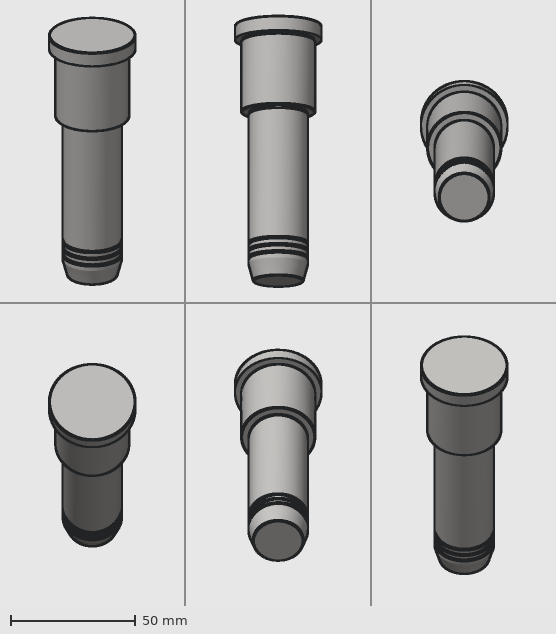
import cadquery as cq
import math

total_length = 106.0
head_diameter = 35.0
head_height = 6.0
body_diameter = 30.0
body_bottom = 70.0
shaft_diameter = 24.1

edge_chamfer = 0.4
relief_depth = 0.3
head_relief_height = 0.5
shaft_relief_height = 1.0

taper_height = 7.0
taper_angle = 15.0
tip_chamfer = 0.4

groove_count = 3
lowest_groove_center = 9.5
groove_pitch = 3.0
groove_width = 1.1
groove_depth = 0.4

head_radius = head_diameter / 2
body_radius = body_diameter / 2
shaft_radius = shaft_diameter / 2
head_bottom = total_length - head_height
tip_radius = shaft_radius - (taper_height - tip_chamfer) * math.tan(math.radians(taper_angle))


def cylinder(radius, bottom, top):
    """Solid cylinder on the Z axis between two heights."""
    return cq.Workplane("XY").workplane(offset=bottom).circle(radius).extrude(top - bottom)


def revolve_profile(points):
    """Revolve a closed (radius, height) outline about the Z axis."""
    return cq.Workplane("XZ").polyline(points).close().revolve(360, (0, 0), (0, 1))


def make_head():
    return cylinder(head_radius, head_bottom, total_length).faces(">Z").chamfer(edge_chamfer)


def make_body():
    body_top = head_bottom - head_relief_height
    body = cylinder(body_radius, body_bottom, body_top).edges().chamfer(edge_chamfer)
    relief = cylinder(body_radius - edge_chamfer, body_top, head_bottom)
    return body.union(relief)


def make_shaft():
    shaft_top = body_bottom - shaft_relief_height
    relief_radius = shaft_radius - relief_depth
    return revolve_profile([
        (0, 0),
        (tip_radius - tip_chamfer, 0),
        (tip_radius, tip_chamfer),
        (shaft_radius, taper_height),
        (shaft_radius, shaft_top),
        (relief_radius, shaft_top),
        (relief_radius, body_bottom),
        (0, body_bottom),
    ])


def make_groove_cutter(center):
    floor_radius = shaft_radius - groove_depth
    return revolve_profile([
        (floor_radius, center),
        (shaft_radius, center - groove_width / 2),
        (body_radius, center - groove_width / 2),
        (body_radius, center + groove_width / 2),
        (shaft_radius, center + groove_width / 2),
    ])


result = make_shaft().union(make_body()).union(make_head())
for index in range(groove_count):
    result = result.cut(make_groove_cutter(lowest_groove_center + index * groove_pitch))